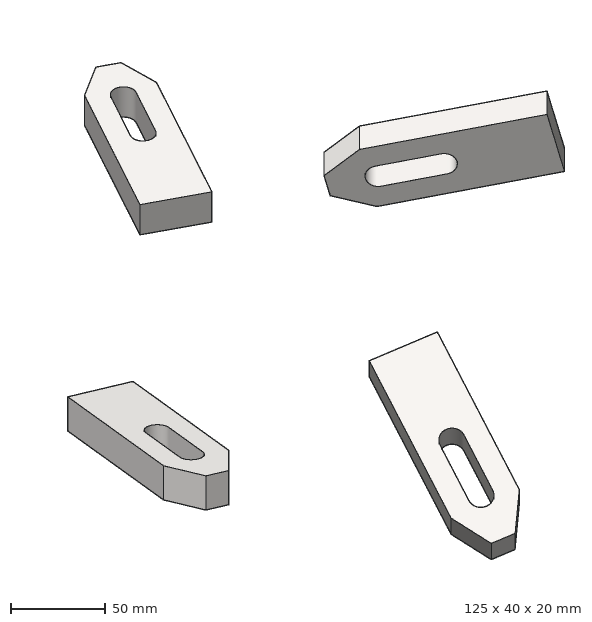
import cadquery as cq
import math

length = 125.0
width = 40.0
thickness = 20.0

nose_width = 14.0
nose_angle = 30.0
nose_length = (width - nose_width) / 2 / math.tan(math.radians(nose_angle))

slot_start = 21.0
slot_length = 50.0
slot_width = 14.0


def clamp_body():
    """Flat bar with both corners of its nose cut at an angle."""
    outline = [
        (0, -nose_width / 2),
        (nose_length, -width / 2),
        (length, -width / 2),
        (length, width / 2),
        (nose_length, width / 2),
        (0, nose_width / 2),
    ]
    return cq.Workplane("XY").polyline(outline).close().extrude(thickness)


def stud_slot():
    """Cutter for the slot, centred across the bar's width."""
    return (
        cq.Workplane("XY")
        .center(slot_start + slot_length / 2, 0)
        .slot2D(slot_length, slot_width)
        .extrude(thickness)
    )


result = clamp_body().cut(stud_slot())